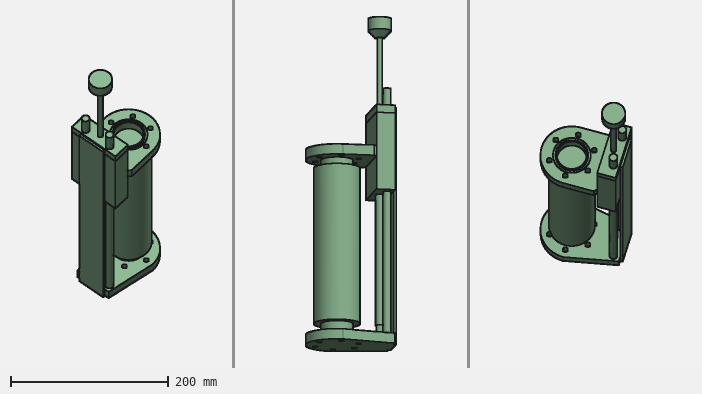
import cadquery as cq

total_height = 426.0
total_depth = 113.5
plate_width = 80.0
plate_radius = plate_width / 2
overall_front = plate_radius - total_depth

base_thickness = 13.0
base_front_width = 52.0
cover_width = 40.0
cover_thickness = 3.5
base_front = overall_front + cover_thickness
rod_diameter = 10.2
rod_spacing = cover_width
rod_y = -61.0
rod_projection = 24.3

block_width = 73.0
block_back = -44.5
block_front = -68.5
block_top = 307.0
end_plate_thickness = 10.2
carriage_top = block_top - end_plate_thickness
carriage_bottom = 197.2
rod_top = block_top + rod_projection

flange_top = 253.5
flange_thickness = 13.0
flange_bottom = flange_top - flange_thickness
flange_side_front = -40.5
flange_bore_diameter = 38.0
seal_recess_diameter = 48.0
seal_recess_depth = 1.3
seal_edge_diameter = 41.7

bolt_count = 6
bolt_circle_diameter = 59.0
bolt_hole_diameter = 6.5

bellows_diameter = 59.2
bellows_bottom = 27.5
bellows_top = 230.0
neck_diameter = 41.5

screw_y = -55.5
shaft_diameter = 7.0
thread_diameter = 11.0
thread_bottom = bellows_bottom
journal_diameter = 9.5
knob_diameter = 30.0
knob_height = 15.8
knob_bottom = total_height - knob_height
knob_cone_height = 9.5
knob_cone_bottom = knob_bottom - knob_cone_height
knob_cone_diameter = 11.5


def cylinder(diameter, bottom, top, x=0.0, y=0.0):
    """Upright cylinder between two heights."""
    return cq.Workplane("XY", origin=(x, y, bottom)).circle(diameter / 2).extrude(top - bottom)


def block(width, back, front, bottom, top):
    """Box centred on the YZ plane."""
    middle_y = (back + front) / 2
    return cq.Workplane("XY", origin=(0, middle_y, bottom)).rect(width, back - front).extrude(top - bottom)


def round_back_plate(right_side, bottom, top):
    """Drilled plate with a half-round back.

    right_side lists the corners in front of the round back on the +X side, from the front edge
    backwards. The -X side mirrors them.
    """
    left_side = [(-x, y) for x, y in reversed(right_side)]
    plate = (
        cq.Workplane("XY", origin=(0, 0, bottom))
        .polyline(right_side + [(plate_radius, 0)])
        .threePointArc((0, plate_radius), (-plate_radius, 0))
        .polyline(left_side, includeCurrent=True)
        .close()
        .extrude(top - bottom)
    )
    bolt_holes = (
        cq.Workplane("XY", origin=(0, 0, bottom))
        .polarArray(bolt_circle_diameter / 2, 0, 360, bolt_count)
        .circle(bolt_hole_diameter / 2)
        .extrude(top - bottom)
    )
    return plate.cut(bolt_holes)


def make_frame():
    """Base plate that tapers to the front, with the upright cover and two guide rods."""
    base = round_back_plate([(base_front_width / 2, base_front)], 0, base_thickness)
    cover = block(cover_width, base_front, overall_front, 0, block_top)
    body = base.union(cover)
    for rod_x in (-rod_spacing / 2, rod_spacing / 2):
        body = body.union(cylinder(rod_diameter, base_thickness, rod_top, rod_x, rod_y))
    return body


def make_screw():
    """Lead screw: journal, thicker threaded length and thin shaft, with a coned knob on top."""
    return (
        cq.Workplane("XZ", origin=(0, screw_y, 0))
        .moveTo(0, base_thickness)
        .lineTo(journal_diameter / 2, base_thickness)
        .lineTo(journal_diameter / 2, thread_bottom)
        .lineTo(thread_diameter / 2, thread_bottom)
        .lineTo(thread_diameter / 2, carriage_top)
        .lineTo(shaft_diameter / 2, carriage_top)
        .lineTo(shaft_diameter / 2, knob_cone_bottom)
        .lineTo(knob_cone_diameter / 2, knob_cone_bottom)
        .lineTo(knob_diameter / 2, knob_bottom)
        .lineTo(knob_diameter / 2, total_height)
        .lineTo(0, total_height)
        .close()
        .revolve(360, (0, 0, 0), (0, 1, 0))
    )


def make_flange():
    """Flange with a through bore and a ring-shaped sealing recess around it."""
    right_side = [(block_width / 2, block_back), (plate_radius, flange_side_front)]
    plate = round_back_plate(right_side, flange_bottom, flange_top)
    bore = cylinder(flange_bore_diameter, flange_bottom, flange_top)
    seal_recess = (
        cq.Workplane("XY", origin=(0, 0, flange_top - seal_recess_depth))
        .circle(seal_recess_diameter / 2)
        .circle(seal_edge_diameter / 2)
        .extrude(seal_recess_depth)
    )
    return plate.cut(bore).cut(seal_recess)


def make_carriage(frame, screw):
    """Block with the flange on its back, bored to fit the guide rods and the screw."""
    body = block(block_width, block_back, block_front, carriage_bottom, carriage_top)
    return body.union(make_flange()).cut(frame).cut(screw)


def make_end_plate(frame, screw):
    """Plate on top of the carriage, bored to fit the guide rods and the screw."""
    return block(block_width, block_back, block_front, carriage_top, block_top).cut(frame).cut(screw)


def make_bellows():
    """Bellows between the base and the flange, with a narrower neck at each end."""
    neck = cylinder(neck_diameter, base_thickness, flange_bottom)
    return neck.union(cylinder(bellows_diameter, bellows_bottom, bellows_top))


frame = make_frame()
screw = make_screw()
carriage = make_carriage(frame, screw)
end_plate = make_end_plate(frame, screw)
bellows = make_bellows()

bodies = [frame, screw, carriage, end_plate, bellows]
result = cq.Compound.makeCompound([body.solids().val() for body in bodies])